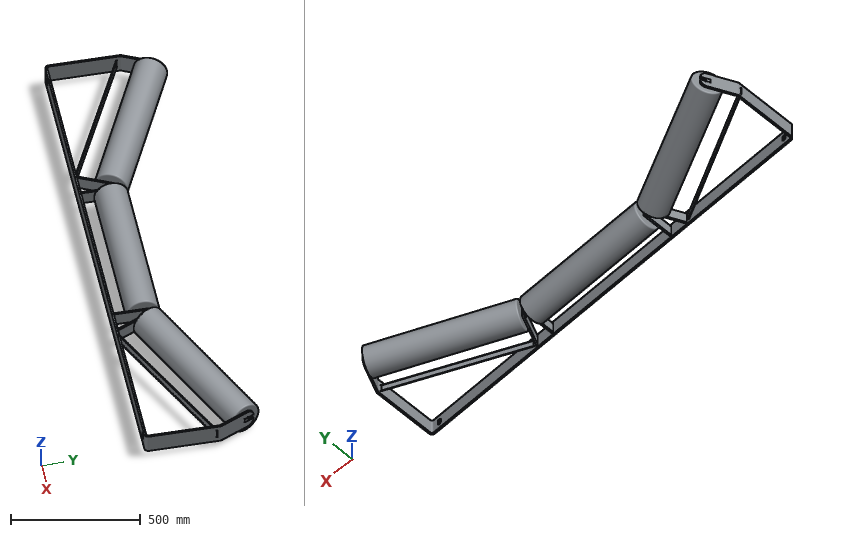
import cadquery as cq
import math

FRAME_LENGTH = 2000.0
STRIP_WIDTH = 80.0
STRIP_THICKNESS = 8.0
TROUGH_ANGLE = 25.0
BEND_RADIUS = 15.0

UPRIGHT_HEIGHT = 298.0
WING_LENGTH = 155.0
WING_CORNER = 30.0

ROLLER_DIAMETER = 135.0
ROLLER_LENGTH = 640.0
ROLLER_EDGE_RADIUS = 5.0
SHAFT_WIDTH = 18.0
MIDDLE_ROLLER_HEIGHT = 125.0
SIDE_ROLLER_X = 650.0
SIDE_ROLLER_Y = 270.0

BRACKET_FACE_X = 322.0
BRACKET_FOOT_X = 415.0
BRACKET_HEIGHT = 150.0
BRACKET_WIDTH = 55.0

BRACE_THICKNESS = 5.0
BRACE_WIDTH = 35.0
BRACE_HEIGHT = 285.0
BRACE_FOOT_X = 422.0
MOUNT_SLOT_WIDTH = 18.0
MOUNT_SLOT_LENGTH = 30.0
MOUNT_SLOT_X = 952.0

HALF_LENGTH = FRAME_LENGTH / 2
SINE = math.sin(math.radians(TROUGH_ANGLE))
COSINE = math.cos(math.radians(TROUGH_ANGLE))
TANGENT = SINE / COSINE
INNER_BEND_RADIUS = BEND_RADIUS - STRIP_THICKNESS

WING_OUTER_FACE = (HALF_LENGTH - SIDE_ROLLER_X) * COSINE + (UPRIGHT_HEIGHT - SIDE_ROLLER_Y) * SINE
BRACKET_INNER_FACE = (
    (SIDE_ROLLER_X - BRACKET_FOOT_X) * COSINE + (SIDE_ROLLER_Y - STRIP_THICKNESS) * SINE + STRIP_THICKNESS
)


def mirrored(body):
    """Copy of a body on the other side of the middle plane X = 0."""
    return body.mirror("YZ")


def at_side_roller(body):
    """Move a body built along X around the origin onto the right-hand side roller axis."""
    return body.rotate((0, 0, 0), (0, 0, 1), TROUGH_ANGLE).translate((SIDE_ROLLER_X, SIDE_ROLLER_Y, 0))


def flat_profile(points, width):
    """Solid with the given XY outline, centred on Z = 0."""
    return cq.Workplane("XY").polyline(points).close().extrude(width / 2, both=True)


def round_bend(body, point, radius):
    """Round the edge along Z that passes through an XY point."""
    nearest = cq.selectors.NearestToPointSelector((point[0], point[1], 0))
    return body.edges("|Z").edges(nearest).fillet(radius)


def make_roller(inner_reach, outer_reach):
    """Roller along X with a square shaft reaching to the given distances from its middle."""
    left_end = cq.Workplane("YZ", origin=(-ROLLER_LENGTH / 2, 0, 0))
    drum = left_end.circle(ROLLER_DIAMETER / 2).extrude(ROLLER_LENGTH)
    drum = drum.edges("%CIRCLE").fillet(ROLLER_EDGE_RADIUS)
    shaft = cq.Workplane("XY").box(inner_reach + outer_reach, SHAFT_WIDTH, SHAFT_WIDTH)
    return drum.union(shaft.translate(((outer_reach - inner_reach) / 2, 0, 0)))


def shaft_slot(start, end, depth):
    """Cutter along X for a shaft slot that opens upwards from the shaft's underside."""
    return (
        cq.Workplane("XY")
        .box(end - start, depth, SHAFT_WIDTH, centered=(False, False, True))
        .translate((start, -SHAFT_WIDTH / 2, 0))
    )


def make_brace():
    """Right-hand flat brace from the base strip through to the outer face of the upright."""
    slope = math.atan2(BRACE_HEIGHT - STRIP_THICKNESS, HALF_LENGTH - BRACE_FOOT_X)
    end_height = BRACE_THICKNESS / math.cos(slope)
    foot_length = BRACE_THICKNESS / math.sin(slope)
    outline = [
        (BRACE_FOOT_X + foot_length, STRIP_THICKNESS),
        (HALF_LENGTH, BRACE_HEIGHT - end_height),
        (HALF_LENGTH, BRACE_HEIGHT),
        (BRACE_FOOT_X, STRIP_THICKNESS),
    ]
    return flat_profile(outline, BRACE_WIDTH)


def make_bracket():
    """Right-hand bent bracket: upright leg, short top and leg square to the side roller axis."""
    top_x = BRACKET_FOOT_X - (BRACKET_HEIGHT - STRIP_THICKNESS) * TANGENT
    inner_x = BRACKET_FACE_X + STRIP_THICKNESS
    inner_foot_x = BRACKET_FOOT_X - STRIP_THICKNESS / COSINE
    inner_top = BRACKET_HEIGHT - STRIP_THICKNESS
    inner_top_x = inner_foot_x - (inner_top - STRIP_THICKNESS) * TANGENT
    outline = [
        (BRACKET_FACE_X, STRIP_THICKNESS),
        (BRACKET_FACE_X, BRACKET_HEIGHT),
        (top_x, BRACKET_HEIGHT),
        (BRACKET_FOOT_X, STRIP_THICKNESS),
        (inner_foot_x, STRIP_THICKNESS),
        (inner_top_x, inner_top),
        (inner_x, inner_top),
        (inner_x, STRIP_THICKNESS),
    ]
    bracket = flat_profile(outline, BRACKET_WIDTH)
    middle_slot = shaft_slot(0, inner_x, BRACKET_HEIGHT).translate((0, MIDDLE_ROLLER_HEIGHT, 0))
    side_slot = at_side_roller(shaft_slot(-BRACKET_INNER_FACE, 0, BRACKET_HEIGHT))
    return bracket.cut(middle_slot).cut(side_slot)


def make_frame(braces):
    """Base strip with two bent uprights, cut for the shafts, the braces and the mounting bolts."""
    tip_x = HALF_LENGTH - WING_LENGTH * SINE
    tip_y = UPRIGHT_HEIGHT + WING_LENGTH * COSINE
    inner_tip_x = tip_x - STRIP_THICKNESS * COSINE
    inner_tip_y = tip_y - STRIP_THICKNESS * SINE
    inner_x = HALF_LENGTH - STRIP_THICKNESS
    inner_bend_y = UPRIGHT_HEIGHT - STRIP_THICKNESS * math.tan(math.radians(TROUGH_ANGLE / 2))
    right_side = [
        (HALF_LENGTH, 0),
        (HALF_LENGTH, UPRIGHT_HEIGHT),
        (tip_x, tip_y),
        (inner_tip_x, inner_tip_y),
        (inner_x, inner_bend_y),
        (inner_x, STRIP_THICKNESS),
    ]
    left_side = [(-x, y) for x, y in reversed(right_side)]
    frame = flat_profile(right_side + left_side, STRIP_WIDTH)

    for side in (1, -1):
        for y in (0, UPRIGHT_HEIGHT):
            frame = round_bend(frame, (side * HALF_LENGTH, y), BEND_RADIUS)
        for y in (STRIP_THICKNESS, inner_bend_y):
            frame = round_bend(frame, (side * inner_x, y), INNER_BEND_RADIUS)
        for z in (STRIP_WIDTH / 2, -STRIP_WIDTH / 2):
            tip_corner = (side * (tip_x + inner_tip_x) / 2, (tip_y + inner_tip_y) / 2, z)
            corner = cq.selectors.NearestToPointSelector(tip_corner)
            frame = frame.edges(corner).fillet(WING_CORNER)

    wing_slot = at_side_roller(shaft_slot(0, WING_OUTER_FACE + STRIP_THICKNESS, WING_LENGTH))
    frame = frame.cut(wing_slot).cut(mirrored(wing_slot))
    for brace in braces:
        frame = frame.cut(brace)

    mount_slots = (
        cq.Workplane("XZ")
        .pushPoints([(MOUNT_SLOT_X, 0), (-MOUNT_SLOT_X, 0)])
        .slot2D(MOUNT_SLOT_LENGTH, MOUNT_SLOT_WIDTH, 90)
        .extrude(-STRIP_THICKNESS)
    )
    return frame.cut(mount_slots)


right_brace = make_brace()
braces = [right_brace, mirrored(right_brace)]
frame = make_frame(braces)

right_bracket = make_bracket()
brackets = [right_bracket, mirrored(right_bracket)]

middle_reach = BRACKET_FACE_X + STRIP_THICKNESS
middle_roller = make_roller(middle_reach, middle_reach).translate((0, MIDDLE_ROLLER_HEIGHT, 0))
right_roller = at_side_roller(make_roller(BRACKET_INNER_FACE, WING_OUTER_FACE))
rollers = [middle_roller, right_roller, mirrored(right_roller)]

bodies = [frame, *brackets, *braces, *rollers]
result = cq.Compound.makeCompound([body.solids().val() for body in bodies])